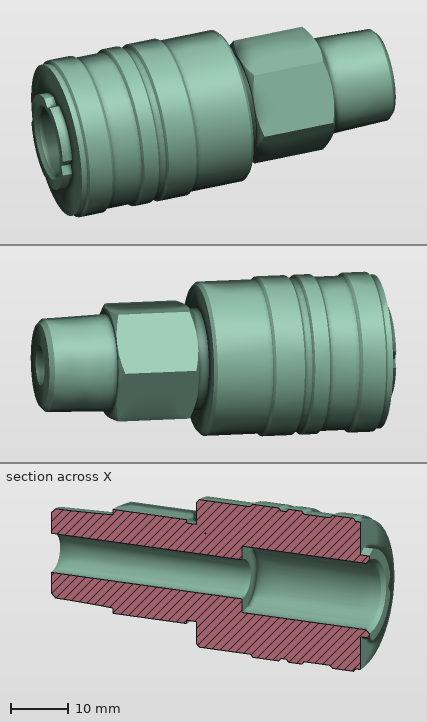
import cadquery as cq
import math

length = 62.0

sleeve_radius = 13.5
band_radius = 14.0
sleeve_front = 1.75
sleeve_back = 33.7
sleeve_chamfer = 0.55
grip_bands = [
    (2.7, 3.1, 7.2, 7.75),
    (12.8, 13.15, 15.8, 16.2),
    (17.3, 17.7, 22.75, 23.25),
]

nose_radius = 8.5
notch_count = 4
notch_floor = 7.5
notch_angle = 120.0

neck_radius = 8.9
hex_front = 35.6
hex_back = 50.05
hex_sides = 6
hex_flats = 19.05
hex_chamfer_angle = 30.0
spigot_base_radius = 8.55
spigot_tip_radius = 8.2
spigot_chamfer = 0.8

socket_radius = 6.0
socket_chamfer = 0.7
socket_depth = 24.8
passage_radius = 3.55


def revolve_profile(points):
    """Revolve (radius, y) points about the Y axis."""
    return cq.Workplane("XY").polyline(points).close().revolve(360, (0, 0, 0), (0, 1, 0))


def along_y(start):
    """Workplane across the axis at y = start, extruding towards +Y."""
    return cq.Workplane("XZ", origin=(0, start, 0))


def cylinder(radius, start, end):
    return along_y(start).circle(radius).extrude(start - end)


def make_sleeve():
    points = [(0, sleeve_front), (sleeve_radius, sleeve_front)]
    for slope_start, flat_start, flat_end, slope_end in grip_bands:
        points += [
            (sleeve_radius, slope_start),
            (band_radius, flat_start),
            (band_radius, flat_end),
            (sleeve_radius, slope_end),
        ]
    points += [
        (sleeve_radius, sleeve_back - sleeve_chamfer),
        (sleeve_radius - sleeve_chamfer, sleeve_back),
        (0, sleeve_back),
    ]
    return revolve_profile(points)


def make_nose():
    nose = cylinder(nose_radius, 0, sleeve_front)
    half_width = (nose_radius - notch_floor) * math.tan(math.radians(notch_angle / 2))
    notch = (
        along_y(0)
        .polyline([(0, notch_floor), (half_width, nose_radius), (-half_width, nose_radius)])
        .close()
        .extrude(-sleeve_front)
    )
    for index in range(notch_count):
        nose = nose.cut(notch.rotate((0, 0, 0), (0, 1, 0), index * 360 / notch_count))
    return nose


def make_hexagon():
    flat_radius = hex_flats / 2
    corner_radius = flat_radius / math.cos(math.pi / hex_sides)
    chamfer_length = (corner_radius - flat_radius) * math.tan(math.radians(hex_chamfer_angle))
    prism = along_y(hex_front).polygon(hex_sides, 2 * corner_radius).extrude(hex_front - hex_back)
    envelope = revolve_profile([
        (0, hex_front),
        (flat_radius, hex_front),
        (corner_radius, hex_front + chamfer_length),
        (corner_radius, hex_back - chamfer_length),
        (flat_radius, hex_back),
        (0, hex_back),
    ])
    return prism.intersect(envelope)


def make_spigot():
    return revolve_profile([
        (0, hex_back),
        (spigot_base_radius, hex_back),
        (spigot_tip_radius, length - spigot_chamfer),
        (spigot_tip_radius - spigot_chamfer, length),
        (0, length),
    ])


def make_bore():
    return revolve_profile([
        (0, 0),
        (socket_radius + socket_chamfer, 0),
        (socket_radius, socket_chamfer),
        (socket_radius, socket_depth),
        (passage_radius, socket_depth),
        (passage_radius, length),
        (0, length),
    ])


body = make_sleeve().union(make_nose())
body = body.union(cylinder(neck_radius, sleeve_back, hex_front))
body = body.union(make_hexagon()).union(make_spigot())
result = body.cut(make_bore())